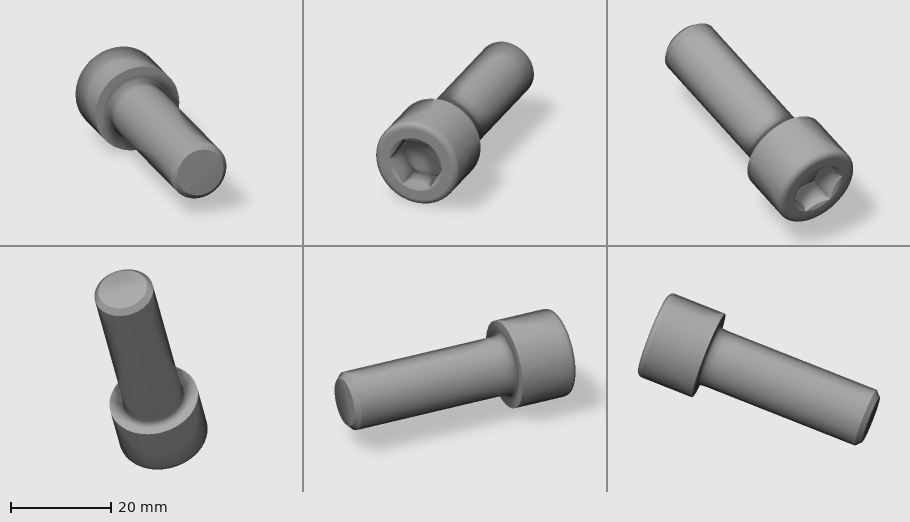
import cadquery as cq
import math

total_length = 47.0
head_diameter = 18.0
head_length = 12.0
head_edge_radius = 1.18
shank_diameter = 12.0
tip_chamfer_length = 1.1
tip_chamfer_depth = 1.1

flare_diameter = 13.72
flare_length = 1.8
flare_small_radius = 0.75

socket_across_flats = 10.0
socket_depth = 6.0
socket_cone_angle = 120.0
mouth_chamfer_angle = 120.0

head_radius = head_diameter / 2
shank_radius = shank_diameter / 2
flare_height = (flare_diameter - shank_diameter) / 2
center_gap_x = flare_length - flare_small_radius
flare_large_radius = (center_gap_x**2 + flare_height**2 - flare_small_radius**2) / (
    2 * (flare_height - flare_small_radius)
)
joint_angle = math.acos(center_gap_x / (flare_large_radius - flare_small_radius))
socket_corner_diameter = socket_across_flats / math.cos(math.radians(30))
x_start = -total_length / 2
x_end = total_length / 2
x_head_end = x_start + head_length


def flare_point(center, radius, angle):
    """Point on a flare arc, with the angle turning from -X towards the axis."""
    return (center[0] - radius * math.cos(angle), center[1] - radius * math.sin(angle))


def make_body():
    """Revolve the half profile of the screw about the X axis."""
    arc_offset = head_edge_radius * (1 - math.sqrt(0.5))
    small_center = (x_head_end + flare_small_radius, shank_radius + flare_height)
    large_center = (x_head_end + flare_length, shank_radius + flare_large_radius)
    joint = flare_point(small_center, flare_small_radius, joint_angle)
    mid_small = joint_angle / 2
    mid_large = (joint_angle + math.pi / 2) / 2
    profile = (
        cq.Workplane("XY")
        .moveTo(x_start, 0)
        .lineTo(x_start, head_radius - head_edge_radius)
        .threePointArc(
            (x_start + arc_offset, head_radius - arc_offset),
            (x_start + head_edge_radius, head_radius),
        )
        .lineTo(x_head_end, head_radius)
        .lineTo(x_head_end, shank_radius + flare_height)
        .threePointArc(flare_point(small_center, flare_small_radius, mid_small), joint)
        .threePointArc(
            flare_point(large_center, flare_large_radius, mid_large),
            (x_head_end + flare_length, shank_radius),
        )
        .lineTo(x_end - tip_chamfer_length, shank_radius)
        .lineTo(x_end, shank_radius - tip_chamfer_depth)
        .lineTo(x_end, 0)
        .close()
    )
    return profile.revolve(360, (0, 0, 0), (1, 0, 0))


def make_cone(base_x, base_radius, apex_angle):
    """Cone on the X axis, pointing to +X."""
    height = base_radius / math.tan(math.radians(apex_angle / 2))
    return cq.Workplane(
        cq.Solid.makeCone(base_radius, 0, height, cq.Vector(base_x, 0, 0), cq.Vector(1, 0, 0))
    )


def make_socket():
    """Hexagonal hole, flats facing +Z and -Z, with its cone and mouth chamfer."""
    hexagon = (
        cq.Workplane("YZ", origin=(x_start, 0, 0))
        .polygon(6, socket_corner_diameter)
        .extrude(socket_depth)
    )
    bottom = make_cone(x_start + socket_depth, socket_across_flats / 2, socket_cone_angle)
    mouth = make_cone(x_start, socket_corner_diameter / 2, mouth_chamfer_angle)
    return hexagon.union(bottom).union(mouth)


result = make_body().cut(make_socket())